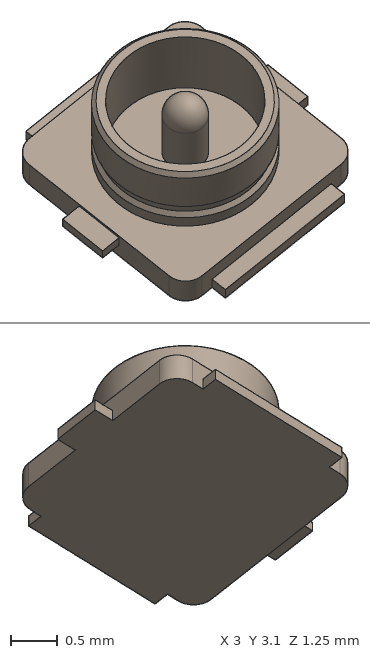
import cadquery as cq

base_side = 2.6
base_height = 0.35
base_corner_radius = 0.25

overall_x = 3.0
overall_y = 3.1
side_tab_length = 1.8
end_tab_width = 0.6
low_tab_height = 0.15
raised_tab_bottom = 0.198
raised_tab_height = 0.125

overall_height = 1.25
ring_diameter = 2.0
groove_diameter = 1.9
bore_diameter = 1.7
bore_floor = base_height
groove_bottom = 0.55
groove_top = 0.648

pin_diameter = 0.5

ring_radius = ring_diameter / 2
groove_radius = groove_diameter / 2
bore_radius = bore_diameter / 2
pin_radius = pin_diameter / 2
pin_top = overall_height
chamfer = ring_radius - groove_radius


def block(x_min, x_max, y_min, y_max, z_min, height):
    """Box given by its extents in X and Y, its bottom and its height."""
    box = cq.Workplane("XY").box(x_max - x_min, y_max - y_min, height, centered=False)
    return box.translate((x_min, y_min, z_min))


def make_base():
    plate = cq.Workplane("XY").rect(base_side, base_side).extrude(base_height)
    return plate.edges("|Z").fillet(base_corner_radius)


def make_side_tabs():
    """One bar through the base forms the long tabs on both X sides."""
    half_x = overall_x / 2
    half_length = side_tab_length / 2
    return block(-half_x, half_x, -half_length, half_length, 0, low_tab_height)


def make_end_tabs():
    """A low tab on the +Y side and a raised one on the -Y side."""
    half_y = overall_y / 2
    half_width = end_tab_width / 2
    low = block(-half_width, half_width, 0, half_y, 0, low_tab_height)
    raised = block(-half_width, half_width, -half_y, 0, raised_tab_bottom, raised_tab_height)
    return low.union(raised)


def make_ring():
    """Revolved wall, chamfered at the rim and on both sides of the groove."""
    profile = [
        (bore_radius, bore_floor),
        (ring_radius, bore_floor),
        (ring_radius, groove_bottom - chamfer),
        (groove_radius, groove_bottom),
        (groove_radius, groove_top),
        (ring_radius, groove_top + chamfer),
        (ring_radius, overall_height - chamfer),
        (groove_radius, overall_height),
        (bore_radius, overall_height),
    ]
    return cq.Workplane("XZ").polyline(profile).close().revolve(360, (0, 0), (0, 1))


def make_pin():
    dome_centre = pin_top - pin_radius
    shaft = cq.Workplane("XY").circle(pin_radius).extrude(dome_centre)
    dome = cq.Workplane("XY").sphere(pin_radius).translate((0, 0, dome_centre))
    return shaft.union(dome)


result = (
    make_base()
    .union(make_side_tabs())
    .union(make_end_tabs())
    .union(make_ring())
    .union(make_pin())
)